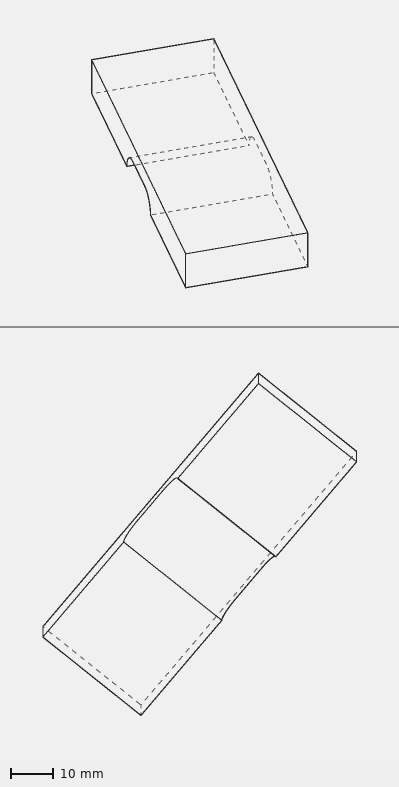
import cadquery as cq

length = 80.0
width = 30.0
thickness = 10.0

channel_width = length / 4
channel_depth = thickness / 2
corner_radius = channel_depth


def make_plate():
    """Rectangular plate centred on the origin in X and Y, resting on Z = 0."""
    return cq.Workplane("XY").box(length, width, thickness, centered=(True, True, False))


def make_channel():
    """Solid removed along Y: a flat roof blending into the underside through two arcs."""
    half_width = channel_width / 2
    half_roof = half_width - corner_radius
    return (
        cq.Workplane("XZ")
        .moveTo(-half_width, 0)
        .radiusArc((-half_roof, channel_depth), corner_radius)
        .lineTo(half_roof, channel_depth)
        .radiusArc((half_width, 0), corner_radius)
        .close()
        .extrude(width / 2, both=True)
    )


result = make_plate().cut(make_channel())